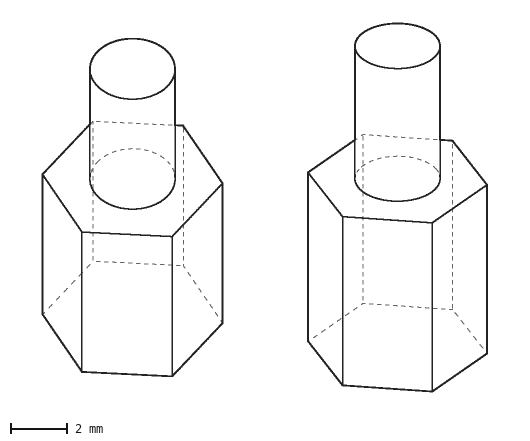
import cadquery as cq
import math

across_flats = 5.5
body_height = 7.0
stud_diameter = 3.0
stud_length = 5.5

hex_sides = 6
across_corners = across_flats / math.cos(math.pi / hex_sides)


def hex_body():
    """Hexagonal prism standing on Z = 0, with two corners on the X axis."""
    return cq.Workplane("XY").polygon(hex_sides, across_corners).extrude(body_height)


def add_stud(body):
    """Add the coaxial stud on the top face of the body."""
    return body.faces(">Z").workplane().circle(stud_diameter / 2).extrude(stud_length)


result = add_stud(hex_body())